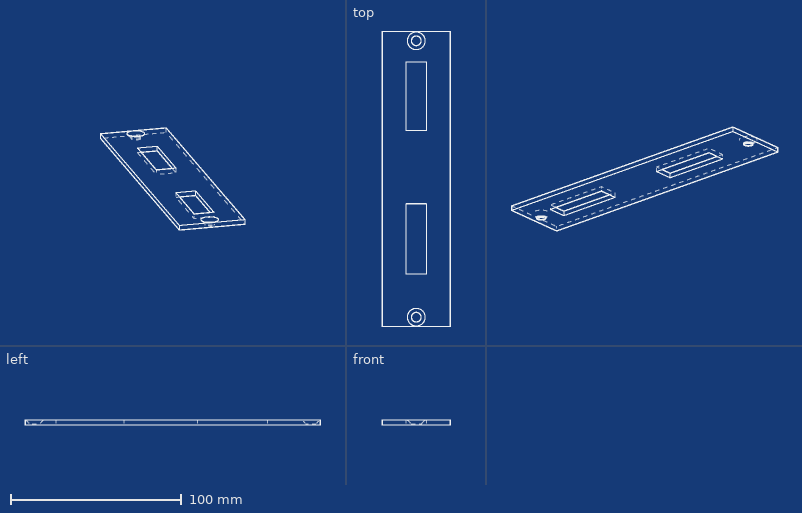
import cadquery as cq

plate_width = 40.0
plate_length = 173.0
plate_thickness = 3.0

window_width = 12.0
upper_window_end_distance = 18.0
upper_window_length = 40.0
window_gap = 43.0
lower_window_length = 41.0
upper_window_top = plate_length / 2 - upper_window_end_distance
lower_window_top = upper_window_top - upper_window_length - window_gap

screw_hole_diameter = 5.5
countersink_diameter = 10.4
countersink_angle = 90.0
screw_hole_end_distance = 5.5
screw_hole_y = plate_length / 2 - screw_hole_end_distance


def make_plate():
    return cq.Workplane("XY").box(plate_width, plate_length, plate_thickness, centered=(True, True, False))


def cut_window(plate, top, length):
    """Cut a rectangular window through the plate running down in Y from its top edge."""
    return (
        plate.faces(">Z")
        .workplane(origin=(0, 0, 0))
        .center(0, top - length / 2)
        .rect(window_width, length)
        .cutThruAll()
    )


def cut_screw_holes(plate):
    """Drill both screw holes, countersunk from the top face."""
    return (
        plate.faces(">Z")
        .workplane(origin=(0, 0, 0))
        .pushPoints([(0, -screw_hole_y), (0, screw_hole_y)])
        .cskHole(screw_hole_diameter, countersink_diameter, countersink_angle)
    )


result = make_plate()
result = cut_window(result, upper_window_top, upper_window_length)
result = cut_window(result, lower_window_top, lower_window_length)
result = cut_screw_holes(result)